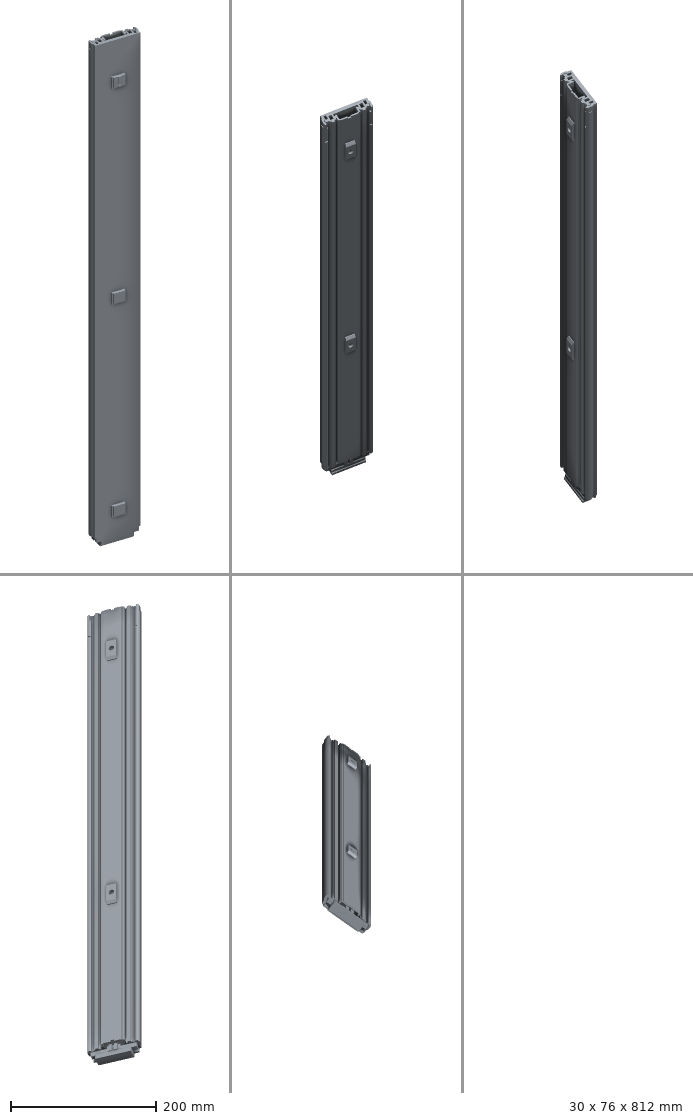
import cadquery as cq

TOP = 406.0
BOTTOM = -406.0
BACK = 8.5
FRONT = -11.0

OUTER_WEB = 2.85
WEB_INSIDE = BACK - OUTER_WEB
OUTER_HALF = 36.0
BULGE_HALF = 38.0
BULGE_FRONT = -9.0
BULGE_BACK = 3.0
BULGE_MIDDLE = (BULGE_FRONT + BULGE_BACK) / 2
LIP_HALF = 32.1
LIP = 3.0
LIP_BEVEL_HALF = 34.0
LIP_BEVEL = 1.0
OUTER_END = -390.0
WEB_TONGUE_HALF = 26.0
WEB_TONGUE_END = -404.0
STEP_END = -397.5
TOP_RELIEF = 10.5
RELIEF_HALF = 37.0
LIP_SLOT_Z = 366.5
LIP_SLOT = 2.5

MIDDLE_FRONT = -9.0
MIDDLE_WEB = 2.5
MIDDLE_WALL = 2.5
MIDDLE_HALF = 28.5
MIDDLE_INSIDE = 19.0
NOSE_SHOULDER = 2.5
MIDDLE_END = -388.5
TONGUE_HALF = 34.0
RIB_SHOULDER_HALF = 30.5
RIB_CLEARANCE = 1.0

INNER_WALL = 2.5
INNER_HALF = 17.0
INNER_BACK = 1.0
INNER_STEP = 2.0
INNER_STEP_DEPTH = 1.0
INNER_STEPS = 2
INNER_END = -384.0
INNER_RIB_HALF = MIDDLE_INSIDE
INNER_RIB = 4.0
NOTCH_DEPTH = 2.5
NOTCH_WIDTH = 5.0

STRAP_FACE = -15.0
STRAP_HALF = 7.0
STRAP_LENGTH = 36.5
STRAP_EDGE = 1.2
STRAP_RAMP = 4.0
STRAP_HOLE = 8.0
STRAP_CENTRES = (331.0, -115.0)

HOOK_HALF = 10.5
HOOK_BASE = 2.5
HOOK_DEPTH = 5.0
HOOK_LENGTH = 19.0
HOOK_SHOULDER = 2.0
HOOK_UNDERCUT = 2.5
HOOK_CENTRES = (340.0, -9.0, -353.0)
STUD_FACE = 15.0
STUD_HALF = 2.0
STUD_LENGTH = 11.0
SHORT_STUD = 2.5

BUMPER_FRONT = -8.5
PAD_FRONT = -5.3
PAD_BACK = 1.0
PAD_HALF = 33.0
FOOT_HALF = WEB_TONGUE_HALF
FOOT_STEP = 2.0
FOOT_STEP_Z = -402.0
STEM_BACK = 2.0
STEM_HALF = 10.0
STEM_TOP = -386.0
STEM_RIB_HALF = 6.5
STEM_SLOT = 3.0


def block(x0, x1, y0, y1, z0, z1):
    """Box between two opposite corners."""
    return cq.Workplane("XY").box(x1 - x0, y1 - y0, z1 - z0, centered=False).translate((x0, y0, z0))


def centred_block(x0, x1, half, z0, z1):
    """Box that is symmetric about the Y = 0 plane."""
    return block(x0, x1, -half, half, z0, z1)


def both_sides(shape):
    """The shape together with its mirror image across Y = 0."""
    return shape.union(shape.mirror("XZ"))


def outer_flange():
    """Bulged raceway on the +Y side, with a round groove between its lips."""
    outline = (
        cq.Workplane("XY").workplane(offset=OUTER_END)
        .moveTo(WEB_INSIDE, LIP_HALF)
        .lineTo(WEB_INSIDE, OUTER_HALF)
        .lineTo(BULGE_BACK, OUTER_HALF)
        .threePointArc((BULGE_MIDDLE, BULGE_HALF), (BULGE_FRONT, OUTER_HALF))
        .lineTo(BULGE_FRONT, LIP_BEVEL_HALF)
        .lineTo(BULGE_FRONT + LIP_BEVEL, LIP_HALF)
        .lineTo(BULGE_FRONT + LIP, LIP_HALF)
        .threePointArc((BULGE_MIDDLE, TONGUE_HALF + RIB_CLEARANCE), (BULGE_BACK - LIP, LIP_HALF))
        .close()
    )
    flange = outline.extrude(TOP - OUTER_END)
    trim_z = TOP - TOP_RELIEF
    crown_trim = block(BULGE_FRONT, BULGE_BACK, RELIEF_HALF, BULGE_HALF, trim_z, TOP)
    lip_trim = block(BULGE_FRONT, BULGE_FRONT + LIP, LIP_HALF, LIP_BEVEL_HALF, trim_z, TOP)
    slot = block(BULGE_FRONT, BULGE_FRONT + LIP / 2, LIP_HALF, OUTER_HALF,
                 LIP_SLOT_Z - LIP_SLOT / 2, LIP_SLOT_Z + LIP_SLOT / 2)
    return flange.cut(crown_trim).cut(lip_trim).cut(slot)


def hook(z):
    """Mounting hook on the back of the outer rail."""
    bottom = z - HOOK_LENGTH / 2
    top = z + HOOK_LENGTH / 2
    base = centred_block(BACK, BACK + HOOK_BASE, HOOK_HALF, bottom, top)
    plate = centred_block(BACK + HOOK_BASE, BACK + HOOK_DEPTH, HOOK_HALF - HOOK_SHOULDER,
                          bottom + HOOK_UNDERCUT, top)
    return base.union(plate)


def make_outer_rail():
    rail = centred_block(WEB_INSIDE, BACK, OUTER_HALF, OUTER_END, TOP)
    rail = rail.union(centred_block(WEB_INSIDE, BACK, PAD_HALF, STEP_END, OUTER_END))
    rail = rail.union(centred_block(WEB_INSIDE, BACK, WEB_TONGUE_HALF, WEB_TONGUE_END, STEP_END))
    rail = rail.union(both_sides(outer_flange()))
    for z in HOOK_CENTRES:
        rail = rail.union(hook(z))
    hook_top = HOOK_CENTRES[0] + HOOK_LENGTH / 2
    hook_bottom = hook_top - HOOK_LENGTH + HOOK_UNDERCUT
    rail = rail.union(centred_block(BACK, STUD_FACE, STUD_HALF, hook_top - STUD_LENGTH, hook_top))
    return rail.union(centred_block(BACK, STUD_FACE, STUD_HALF, hook_bottom, hook_bottom + SHORT_STUD))


def middle_flange():
    """Flange on the +Y side, hollow and ribbed outwards."""
    rib_front = BULGE_FRONT + LIP + RIB_CLEARANCE
    rib_back = BULGE_BACK - LIP - RIB_CLEARANCE
    shoulder_front = MIDDLE_FRONT + NOSE_SHOULDER
    outline = (
        cq.Workplane("XY").workplane(offset=MIDDLE_END)
        .moveTo(WEB_INSIDE, MIDDLE_INSIDE)
        .lineTo(WEB_INSIDE, MIDDLE_HALF)
        .lineTo(rib_back, MIDDLE_HALF)
        .lineTo(rib_back, RIB_SHOULDER_HALF)
        .threePointArc((BULGE_MIDDLE, TONGUE_HALF), (rib_front, RIB_SHOULDER_HALF))
        .lineTo(rib_front, MIDDLE_HALF)
        .lineTo(shoulder_front, MIDDLE_HALF)
        .lineTo(shoulder_front, MIDDLE_HALF - NOSE_SHOULDER)
        .lineTo(MIDDLE_FRONT, MIDDLE_HALF - NOSE_SHOULDER)
        .lineTo(MIDDLE_FRONT, MIDDLE_INSIDE + NOSE_SHOULDER)
        .lineTo(shoulder_front, MIDDLE_INSIDE + NOSE_SHOULDER)
        .lineTo(shoulder_front, MIDDLE_INSIDE)
        .close()
    )
    hollow = block(shoulder_front + MIDDLE_WALL, WEB_INSIDE - MIDDLE_WEB,
                   MIDDLE_INSIDE + MIDDLE_WALL, MIDDLE_HALF - MIDDLE_WALL, MIDDLE_END, TOP)
    return outline.extrude(TOP - MIDDLE_END).cut(hollow)


def make_middle_rail():
    web = centred_block(WEB_INSIDE - MIDDLE_WEB, WEB_INSIDE, MIDDLE_HALF, MIDDLE_END, TOP)
    return web.union(both_sides(middle_flange()))


def strap(z):
    """Raised strap with sloping ends and a hole through its face."""
    half_length = STRAP_LENGTH / 2
    flat = half_length - STRAP_RAMP
    body = (
        cq.Workplane("XZ", origin=(0, STRAP_HALF, 0))
        .polyline([
            (FRONT, z - half_length),
            (FRONT - STRAP_EDGE, z - half_length),
            (STRAP_FACE, z - flat),
            (STRAP_FACE, z + flat),
            (FRONT - STRAP_EDGE, z + half_length),
            (FRONT, z + half_length),
        ])
        .close()
        .extrude(2 * STRAP_HALF)
    )
    hole = (
        cq.Workplane("YZ", origin=(STRAP_FACE, 0, z))
        .circle(STRAP_HOLE / 2)
        .extrude(FRONT - STRAP_FACE)
    )
    return body.cut(hole)


def make_inner_rail():
    length = INNER_END, TOP
    rail = centred_block(FRONT, INNER_BACK, INNER_HALF, *length)
    rail = rail.cut(centred_block(FRONT + INNER_WALL, INNER_BACK, INNER_HALF - INNER_WALL, *length))
    for step in range(INNER_STEPS):
        inside = INNER_HALF - (INNER_STEPS - step) * INNER_STEP
        depth = (step + 1) * INNER_STEP_DEPTH
        relief = block(FRONT, FRONT + depth, inside, INNER_HALF, *length)
        rail = rail.cut(both_sides(relief))
    rib_front = BULGE_MIDDLE - INNER_RIB / 2
    rib = block(rib_front, rib_front + INNER_RIB, INNER_HALF, INNER_RIB_HALF, *length)
    rail = rail.union(both_sides(rib))
    for z0 in (INNER_END, TOP - NOTCH_DEPTH):
        rail = rail.cut(centred_block(FRONT, FRONT + INNER_WALL, NOTCH_WIDTH / 2, z0, z0 + NOTCH_DEPTH))
    for z in STRAP_CENTRES:
        rail = rail.union(strap(z))
    return rail


def make_bumper():
    """Stepped foot against the web tongue, with a raceway pad on each side and a slotted centre stem."""
    pads = centred_block(PAD_FRONT, PAD_BACK, PAD_HALF, STEP_END, OUTER_END)
    back = centred_block(PAD_BACK, WEB_INSIDE, FOOT_HALF, STEP_END, OUTER_END)
    upper_foot = centred_block(BUMPER_FRONT + FOOT_STEP, WEB_INSIDE, FOOT_HALF, FOOT_STEP_Z, STEP_END)
    lower_foot = centred_block(BUMPER_FRONT, WEB_INSIDE, FOOT_HALF, BOTTOM, FOOT_STEP_Z)
    stem = centred_block(PAD_FRONT, STEM_BACK, STEM_HALF, STEP_END, STEM_TOP)
    stem_rib = centred_block(BUMPER_FRONT, PAD_FRONT, STEM_RIB_HALF, STEP_END, STEM_TOP)
    slot = centred_block(BUMPER_FRONT, PAD_FRONT, STEM_SLOT / 2, STEP_END, STEM_TOP)
    bumper = pads.union(back).union(upper_foot).union(lower_foot).union(stem)
    return bumper.union(stem_rib.cut(slot))


outer_rail = make_outer_rail()
middle_rail = make_middle_rail()
inner_rail = make_inner_rail()
bumper = make_bumper()

result = cq.Compound.makeCompound([outer_rail.val(), middle_rail.val(), inner_rail.val(), bumper.val()])